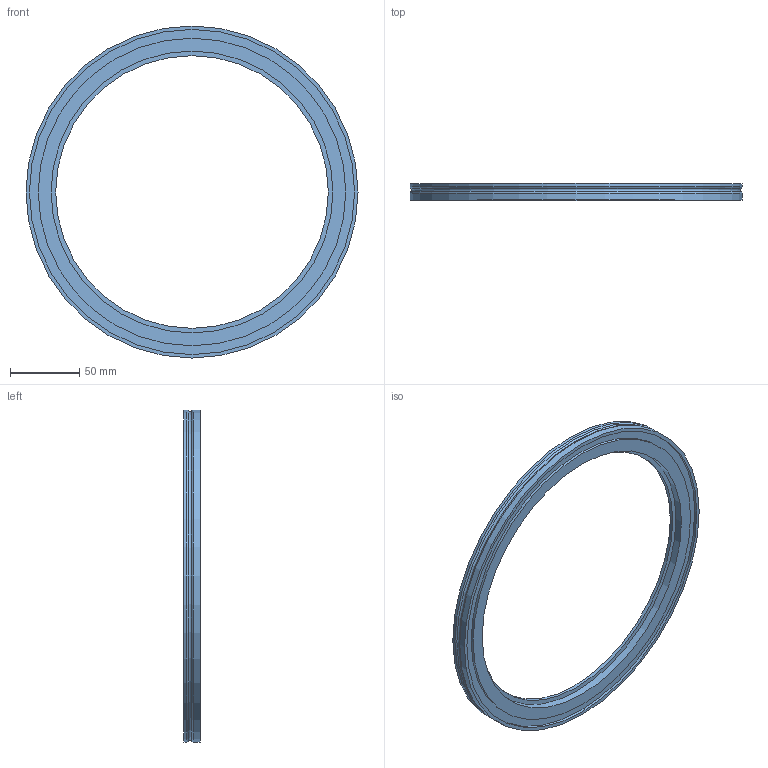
import cadquery as cq
import math

thickness = 11.9
outer_diameter = 240.0
bore_diameter = 197.1

counterbore_diameter = 203.7
counterbore_depth = 5.6

face_groove_inner_diameter = 222.3
face_groove_outer_diameter = 235.0
face_groove_depth = 2.0

back_recess_diameter = 213.2
back_recess_depth = 3.8

rim_groove_depth = 1.5
rim_groove_width = 4.9
rim_groove_floor_width = 2.4
rim_groove_center = 7.3


def disc(diameter, start, length):
    """Solid disc about the Y axis, from y = start to y = start + length."""
    plane = cq.Workplane("XZ", origin=(0, start, 0))
    return plane.circle(diameter / 2).extrude(-length)


def face_groove():
    outer = disc(face_groove_outer_diameter, 0, face_groove_depth)
    inner = disc(face_groove_inner_diameter, 0, face_groove_depth)
    return outer.cut(inner)


def rim_groove():
    rim_radius = outer_diameter / 2
    half_width = rim_groove_width / 2
    floor_half_width = rim_groove_floor_width / 2

    joint_angle = 2 * math.atan(rim_groove_depth / half_width)
    lip_arc_radius = (half_width - floor_half_width) / math.sin(joint_angle)

    def lip_point(angle, side):
        """Point on a lip arc where the surface slopes by angle; side is -1 front, +1 back."""
        drop = lip_arc_radius * (1 - math.cos(angle))
        offset = half_width - lip_arc_radius * math.sin(angle)
        return (rim_radius - drop, rim_groove_center + side * offset)

    floor_bottom = (rim_radius - rim_groove_depth, rim_groove_center)
    section = (
        cq.Workplane("XY")
        .moveTo(*lip_point(0, -1))
        .threePointArc(lip_point(joint_angle / 2, -1), lip_point(joint_angle, -1))
        .threePointArc(floor_bottom, lip_point(joint_angle, 1))
        .threePointArc(lip_point(joint_angle / 2, 1), lip_point(0, 1))
        .close()
    )
    return section.revolve(360, (0, 0, 0), (0, 1, 0))


body = disc(outer_diameter, 0, thickness)
bore = disc(bore_diameter, 0, thickness)
counterbore = disc(counterbore_diameter, 0, counterbore_depth)
back_recess = disc(back_recess_diameter, thickness - back_recess_depth, back_recess_depth)

result = (
    body.cut(bore)
    .cut(counterbore)
    .cut(back_recess)
    .cut(face_groove())
    .cut(rim_groove())
)